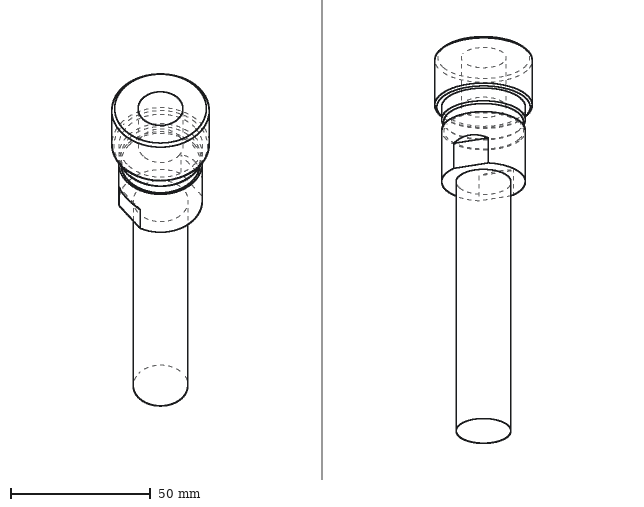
import cadquery as cq

total_length = 150.0

nut_diameter = 35.0
nut_height = 20.0
nut_top_chamfer = 1.0
nut_bottom_chamfer = 0.8

body_diameter = 30.0
body_bottom_z = 100.0
groove_diameter = 28.5
groove_bottom_z = 120.6
groove_height = 3.6

shank_diameter = 19.6
bore_diameter = 16.0
bore_depth = nut_height

flats_width = 27.0
flats_height = 10.0

nut_radius = nut_diameter / 2
body_radius = body_diameter / 2
groove_radius = groove_diameter / 2
shank_radius = shank_diameter / 2
nut_bottom_z = total_length - nut_height
groove_top_z = groove_bottom_z + groove_height
groove_depth = body_radius - groove_radius


def turned_body():
    """Revolve the half outline of nut, grooved body and shank about Z."""
    outline = [
        (0, 0),
        (shank_radius, 0),
        (shank_radius, body_bottom_z),
        (body_radius, body_bottom_z),
        (body_radius, groove_bottom_z),
        (groove_radius, groove_bottom_z),
        (groove_radius, groove_top_z),
        (body_radius, groove_top_z + groove_depth),
        (body_radius, nut_bottom_z),
        (nut_radius - nut_bottom_chamfer, nut_bottom_z),
        (nut_radius, nut_bottom_z + nut_bottom_chamfer),
        (nut_radius, total_length - nut_top_chamfer),
        (nut_radius - nut_top_chamfer, total_length),
        (0, total_length),
    ]
    return cq.Workplane("XZ").polyline(outline).close().revolve(360, (0, 0), (0, 1))


def flat_cutter(side):
    """Cutter for one flat on the +Y (side=1) or -Y (side=-1) side."""
    flat_y = flats_width / 2
    outer_y = body_radius + 1.5
    flat_top_z = body_bottom_z + flats_height
    section = [
        (side * flat_y, body_bottom_z),
        (side * outer_y, body_bottom_z),
        (side * outer_y, flat_top_z + outer_y - flat_y),
        (side * flat_y, flat_top_z),
    ]
    return cq.Workplane("YZ").polyline(section).close().extrude(body_radius, both=True)


result = turned_body()
for side in (-1, 1):
    result = result.cut(flat_cutter(side))

bore = (
    cq.Workplane("XY")
    .workplane(offset=total_length - bore_depth)
    .circle(bore_diameter / 2)
    .extrude(bore_depth)
)
result = result.cut(bore)